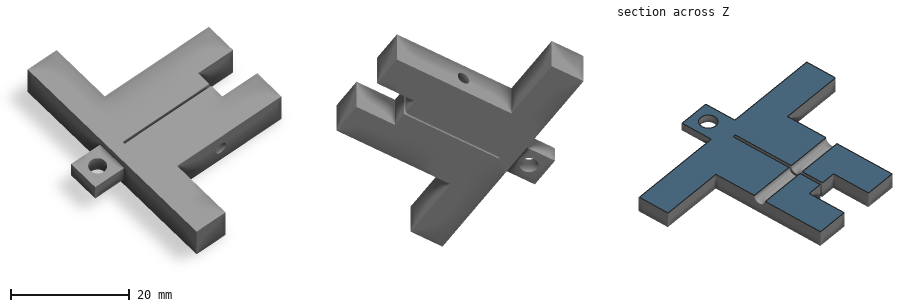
import cadquery as cq

bar_length = 44.45
stock = 6.35
total_depth = 35.55
stem_width = 3 * stock
notch_depth = 7.65
slit_width = 0.5
slit_length = 19.02
tab_thickness = stock / 2
tab_hole_diameter = 3.2
clamp_hole_diameter = 2.3
clamp_hole_setback = 13.3

stem_end = total_depth - stock
notch_floor = stem_end - notch_depth
slit_end = notch_floor - slit_length


def block(width, y_start, y_end, height):
    """Box centred on X and Z, spanning the given Y range."""
    length = y_end - y_start
    return cq.Workplane("XY").box(width, length, height).translate((0, (y_start + y_end) / 2, 0))


crossbar = block(bar_length, 0, stock, stock)
stem = block(stem_width, 0, stem_end, stock)
tab = block(stock, -stock, 0, tab_thickness)
body = crossbar.union(stem).union(tab)

notch = block(stock, notch_floor, stem_end, stock)
slit = block(slit_width, slit_end, notch_floor, stock)

tab_hole = cq.Workplane("XY", origin=(0, -stock / 2, 0)).cylinder(tab_thickness, tab_hole_diameter / 2)

clamp_hole_centre = (0, stem_end - clamp_hole_setback, 0)
clamp_hole = cq.Workplane("YZ", origin=clamp_hole_centre).cylinder(stem_width, clamp_hole_diameter / 2)

result = body.cut(notch).cut(slit).cut(tab_hole).cut(clamp_hole)